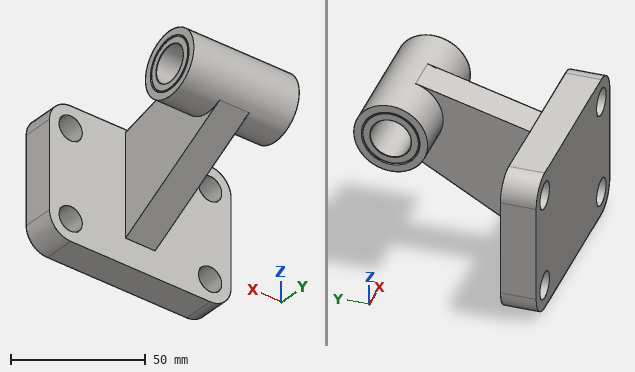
import cadquery as cq
import math

plate_width = 86.0
plate_height = 60.0
plate_thickness = 14.0
corner_radius = 10.0
bolt_hole_diameter = 11.0

tube_diameter = 29.0
tube_radius = tube_diameter / 2
tube_length = 50.0
overall_depth = 77.5
overall_height = 71.5
axis_y = overall_depth - tube_radius
axis_z = overall_height - tube_radius

bush_diameter = 22.0
bore_diameter = 16.0
groove_diameter = 23.0
bush_chamfer = 0.2
groove_depth = (groove_diameter - bush_diameter) / 2

web_thickness = 14.0
web_top_angle = math.radians(15)
web_bottom_angle = math.radians(30)


def make_plate():
    """Rounded plate with a bolt hole concentric with each corner."""
    plate = (
        cq.Workplane("XY")
        .box(plate_width, plate_thickness, plate_height, centered=(True, False, False))
        .edges("|Y")
        .fillet(corner_radius)
    )
    hole_spacing_x = plate_width - 2 * corner_radius
    hole_spacing_z = plate_height - 2 * corner_radius
    holes = (
        cq.Workplane("XZ", origin=(0, 0, plate_height / 2))
        .rarray(hole_spacing_x, hole_spacing_z, 2, 2)
        .circle(bolt_hole_diameter / 2)
        .extrude(-plate_thickness)
    )
    return plate.cut(holes)


def make_web():
    """Tapered web ending on the tube axis and at the two tangent points."""
    top_y = axis_y - tube_radius * math.sin(web_top_angle)
    top_z = axis_z + tube_radius * math.cos(web_top_angle)
    bottom_y = axis_y + tube_radius * math.sin(web_bottom_angle)
    bottom_z = axis_z - tube_radius * math.cos(web_bottom_angle)
    plate_top_z = top_z - (top_y - plate_thickness) * math.tan(web_top_angle)
    plate_bottom_z = bottom_z - (bottom_y - plate_thickness) * math.tan(web_bottom_angle)
    return (
        cq.Workplane("YZ")
        .moveTo(plate_thickness, plate_bottom_z)
        .lineTo(bottom_y, bottom_z)
        .lineTo(axis_y, axis_z)
        .lineTo(top_y, top_z)
        .lineTo(plate_thickness, plate_top_z)
        .close()
        .extrude(web_thickness / 2, both=True)
    )


def tube_blank(diameter):
    """Solid cylinder on the tube axis, as long as the tube."""
    return (
        cq.Workplane("YZ", origin=(-tube_length / 2, axis_y, axis_z))
        .circle(diameter / 2)
        .extrude(tube_length)
    )


def revolve_about_tube(profile):
    """Turn a closed list of (x, radius) points about the tube axis."""
    return (
        cq.Workplane("XY", origin=(0, axis_y, axis_z))
        .polyline(profile)
        .close()
        .revolve(360, (0, 0, 0), (1, 0, 0))
    )


def make_end_cuts():
    """Groove around the bush and bore chamfer, both at the -X end."""
    end_x = -tube_length / 2
    bush_radius = bush_diameter / 2
    bore_radius = bore_diameter / 2
    groove = revolve_about_tube([
        (end_x, bush_radius - bush_chamfer),
        (end_x, groove_diameter / 2),
        (end_x + groove_depth, bush_radius),
        (end_x + bush_chamfer, bush_radius),
    ])
    chamfer = revolve_about_tube([
        (end_x, 0),
        (end_x, bore_radius + bush_chamfer),
        (end_x + bush_chamfer, bore_radius),
        (end_x + bush_chamfer, 0),
    ])
    return groove.union(chamfer)


end_cuts = make_end_cuts()

result = make_plate().union(make_web()).union(tube_blank(tube_diameter))
result = result.cut(tube_blank(bore_diameter))
result = result.cut(end_cuts).cut(end_cuts.mirror("YZ"))